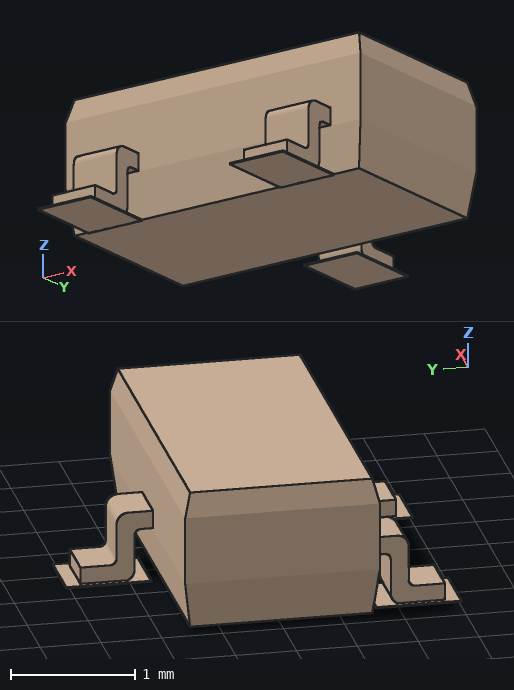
import cadquery as cq

body_length = 2.92
body_width = 1.6
body_bottom = 0.04
band_bottom = 0.433
band_top = 0.997
body_top = 1.2
taper_inset = 0.052

lead_width = 0.425
lead_thickness = 0.15
lead_top = 0.592
lead_shank_outer = 1.1
lead_toe = 1.397
outer_bend_radius = 0.098
inner_bend_radius = 0.052
lead_embed = 0.152
lead_pitch = 1.897

overall_width = 3.05
pad_width = 0.525
pad_length = 0.7
pad_thickness = 0.01


def tapered_block(straight_z, narrow_z):
    """Loft from the full body outline to the inset outline."""
    return (
        cq.Workplane("XY", origin=(0, 0, straight_z))
        .rect(body_length, body_width)
        .workplane(offset=narrow_z - straight_z)
        .rect(body_length - 2 * taper_inset, body_width - 2 * taper_inset)
        .loft(ruled=True)
    )


def make_body():
    band = (
        cq.Workplane("XY", origin=(0, 0, band_bottom))
        .rect(body_length, body_width)
        .extrude(band_top - band_bottom)
    )
    return band.union(tapered_block(band_top, body_top)).union(tapered_block(band_bottom, body_bottom))


def bend(lead, y, z, radius):
    """Round the lead edge that runs along X through the point (y, z)."""
    margin = 0.003
    edge_box = cq.selectors.BoxSelector(
        (-lead_width, y - margin, z - margin),
        (lead_width, y + margin, z + margin),
    )
    return lead.edges("|X").edges(edge_box).fillet(radius)


def make_lead_and_pad():
    """One lead and its pad at X = 0, pointing toward +Y."""
    root = body_width / 2 - lead_embed
    shank_inner = lead_shank_outer - lead_thickness
    shoulder_bottom = lead_top - lead_thickness
    lead = (
        cq.Workplane("YZ", origin=(-lead_width / 2, 0, 0))
        .moveTo(root, lead_top)
        .lineTo(lead_shank_outer, lead_top)
        .lineTo(lead_shank_outer, lead_thickness)
        .lineTo(lead_toe, lead_thickness)
        .lineTo(lead_toe, 0)
        .lineTo(shank_inner, 0)
        .lineTo(shank_inner, shoulder_bottom)
        .lineTo(root, shoulder_bottom)
        .close()
        .extrude(lead_width)
    )
    lead = bend(lead, lead_shank_outer, lead_top, outer_bend_radius)
    lead = bend(lead, shank_inner, 0, outer_bend_radius)
    lead = bend(lead, lead_shank_outer, lead_thickness, inner_bend_radius)
    lead = bend(lead, shank_inner, shoulder_bottom, inner_bend_radius)

    pad_center_y = (overall_width - pad_length) / 2
    pad = (
        cq.Workplane("XY", origin=(0, pad_center_y, 0))
        .rect(pad_width, pad_length)
        .extrude(pad_thickness)
    )
    return lead.union(pad)


back_lead = make_lead_and_pad()
front_lead = back_lead.rotate((0, 0, 0), (0, 0, 1), 180)

result = make_body().union(back_lead)
for x in (-lead_pitch / 2, lead_pitch / 2):
    result = result.union(front_lead.translate((x, 0, 0)))